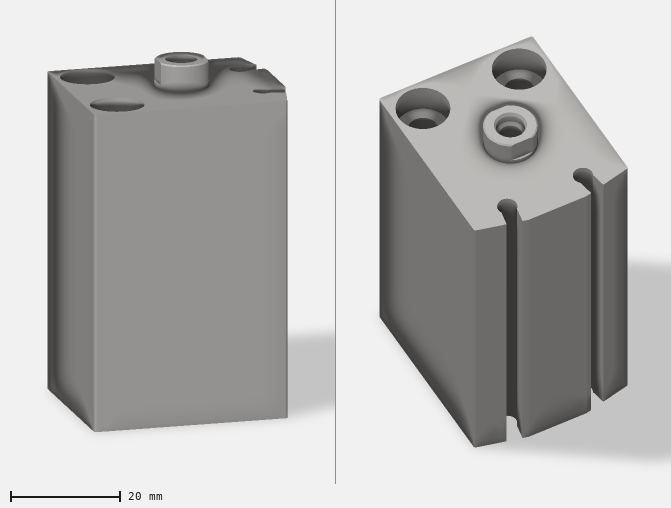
import cadquery as cq
import math

total_height = 65.0
width = 32.0
depth = 39.0
rod_projection = 5.0
housing_height = total_height - rod_projection
front_offset = 21.0
back_offset = depth - front_offset
crown_width = 12.0
back_slope = 13.5
corner_radius = 0.5

bolt_hole_dia = 5.5
counterbore_dia = 10.0
counterbore_depth = 5.7
bolt_spacing = 20.0
bolt_offset = 15.0

groove_dia = 3.7
groove_mouth_width = 3.0
groove_x = 7.85
groove_y = 13.25
groove_tilt = 10.0

rod_dia = 10.0
rod_length = 25.0
rod_chamfer = 0.25
flat_width = 9.0
flat_length = 4.1

bore_mouth_dia = 6.05
bore_mouth_depth = 0.65
bore_dia = 5.3
bore_depth = 2.0
drill_dia = 4.15
drill_depth = 12.0
drill_point_angle = 118.0


def make_block():
    half_width = width / 2
    half_crown = crown_width / 2
    shoulder_y = back_offset - (half_width - half_crown) * math.tan(math.radians(back_slope))
    return (
        cq.Workplane("XY")
        .moveTo(-half_width, -front_offset)
        .lineTo(half_width, -front_offset)
        .lineTo(half_width, shoulder_y)
        .lineTo(half_crown, back_offset)
        .lineTo(-half_crown, back_offset)
        .lineTo(-half_width, shoulder_y)
        .close()
        .extrude(housing_height)
        .edges("|Z and (<X or >X)")
        .fillet(corner_radius)
    )


def make_groove(side):
    """Round channel with a narrower slanted mouth; side is -1 (left) or 1 (right)."""
    channel = cq.Workplane("XY").circle(groove_dia / 2).extrude(housing_height)
    mouth_length = depth - front_offset
    mouth = (
        cq.Workplane("XY")
        .center(0, mouth_length / 2)
        .rect(groove_mouth_width, mouth_length)
        .extrude(housing_height)
    )
    groove = channel.union(mouth).rotate((0, 0, 0), (0, 0, 1), -side * groove_tilt)
    return groove.translate((side * groove_x, groove_y, 0))


def make_housing():
    housing = make_block()
    for side in (-1, 1):
        housing = housing.cut(make_groove(side))

    housing = (
        housing.faces(">Z")
        .workplane(origin=(0, 0, housing_height))
        .pushPoints([(side * bolt_spacing / 2, -bolt_offset) for side in (-1, 1)])
        .cboreHole(bolt_hole_dia, counterbore_dia, counterbore_depth)
    )
    rod_seat = (
        cq.Workplane("XY", origin=(0, 0, total_height - rod_length))
        .circle(rod_dia / 2)
        .extrude(rod_length)
    )
    return housing.cut(rod_seat)


def make_rod_bore():
    """Countersunk entry, wide bore and pointed drill hole, as one revolved tool."""
    mouth_radius = bore_mouth_dia / 2
    bore_radius = bore_dia / 2
    drill_radius = drill_dia / 2
    step_depth = bore_radius - drill_radius
    point_length = drill_radius / math.tan(math.radians(drill_point_angle / 2))
    return (
        cq.Workplane("XZ")
        .moveTo(0, total_height)
        .lineTo(mouth_radius, total_height)
        .lineTo(bore_radius, total_height - bore_mouth_depth)
        .lineTo(bore_radius, total_height - bore_depth)
        .lineTo(drill_radius, total_height - bore_depth - step_depth)
        .lineTo(drill_radius, total_height - drill_depth)
        .lineTo(0, total_height - drill_depth - point_length)
        .close()
        .revolve(360, (0, 0, 0), (0, 1, 0))
    )


def make_rod():
    rod = (
        cq.Workplane("XY", origin=(0, 0, total_height - rod_length))
        .circle(rod_dia / 2)
        .extrude(rod_length)
        .faces(">Z")
        .chamfer(rod_chamfer)
    )
    for side in (-1, 1):
        flat_cut = cq.Workplane("XY").box(rod_dia, rod_dia, flat_length).translate(
            (0, side * (flat_width + rod_dia) / 2, total_height - flat_length / 2)
        )
        rod = rod.cut(flat_cut)
    return rod.cut(make_rod_bore())


housing = make_housing()
rod = make_rod()
result = cq.Compound.makeCompound([housing.val(), rod.val()])